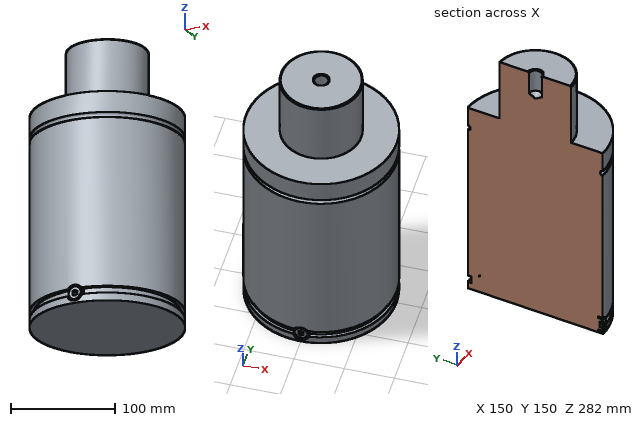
import cadquery as cq
import math

body_diameter = 150.0
body_height = 215.0

rod_diameter = 80.0
total_height = 282.0
rod_edge_chamfer = 1.0

rod_hole_diameter = 14.0
rod_hole_mouth_diameter = 16.0
rod_hole_depth = 25.0
drill_point_angle = 118.0

round_groove_radius = 2.5
round_groove_depth = 2.65
round_groove_height = 191.0

base_flange_height = 8.0
square_groove_width = 7.0
square_groove_diameter = 142.0

valve_height = 10.6
valve_pocket_diameter = 16.0
valve_pocket_floor = 70.0
valve_plug_diameter = 14.0
valve_plug_face = 74.5
valve_plug_chamfer = 0.5
valve_socket_across_flats = 5.0
valve_socket_depth = 3.0

body_radius = body_diameter / 2


def make_body():
    """Cylinder and rod, with the rod's top edge broken."""
    body = cq.Workplane("XY").circle(body_radius).extrude(body_height)
    rod = (
        cq.Workplane("XY")
        .circle(rod_diameter / 2)
        .extrude(total_height)
        .faces(">Z")
        .chamfer(rod_edge_chamfer)
    )
    return body.union(rod)


def make_square_groove():
    """Ring that cuts the rectangular groove above the base flange."""
    return (
        cq.Workplane("XY", origin=(0, 0, base_flange_height))
        .circle(body_diameter)
        .circle(square_groove_diameter / 2)
        .extrude(square_groove_width)
    )


def make_round_groove():
    """Ring that cuts the U-shaped groove: flat flanks and a half-round bottom."""
    floor_radius = body_radius - round_groove_depth
    centre_radius = floor_radius + round_groove_radius
    lower_edge = round_groove_height - round_groove_radius
    upper_edge = round_groove_height + round_groove_radius
    return (
        cq.Workplane("XZ")
        .moveTo(body_diameter, lower_edge)
        .lineTo(centre_radius, lower_edge)
        .threePointArc((floor_radius, round_groove_height), (centre_radius, upper_edge))
        .lineTo(body_diameter, upper_edge)
        .close()
        .revolve(360, (0, 0, 0), (0, 1, 0))
    )


def make_rod_hole():
    """Blind drilled hole with a countersunk mouth and a conical drill point."""
    chamfer = (rod_hole_mouth_diameter - rod_hole_diameter) / 2
    hole_radius = rod_hole_diameter / 2
    point_length = hole_radius / math.tan(math.radians(drill_point_angle / 2))
    floor_height = total_height - rod_hole_depth
    return (
        cq.Workplane("XZ")
        .moveTo(0, total_height)
        .lineTo(rod_hole_mouth_diameter / 2, total_height)
        .lineTo(hole_radius, total_height - chamfer)
        .lineTo(hole_radius, floor_height)
        .lineTo(0, floor_height - point_length)
        .close()
        .revolve(360, (0, 0, 0), (0, 1, 0))
    )


def valve_cylinder(diameter, inner_distance, outer_distance):
    """Cylinder on the valve axis between two distances from the part axis, towards -Y."""
    return (
        cq.Workplane("XZ", origin=(0, -inner_distance, valve_height))
        .circle(diameter / 2)
        .extrude(outer_distance - inner_distance)
    )


def add_valve(part):
    """Pocket through the wall with a plug standing in it and a blind hexagon socket, corners up and down."""
    pocket = valve_cylinder(valve_pocket_diameter, valve_pocket_floor, body_diameter)
    plug = valve_cylinder(valve_plug_diameter, valve_pocket_floor, valve_plug_face)
    plug = plug.faces("<Y").chamfer(valve_plug_chamfer)
    across_corners = valve_socket_across_flats / math.cos(math.radians(30))
    socket = (
        cq.Workplane("XZ", origin=(0, -valve_plug_face, valve_height))
        .transformed(rotate=(0, 0, 90))
        .polygon(6, across_corners)
        .extrude(-valve_socket_depth)
    )
    return part.cut(pocket).union(plug).cut(socket)


result = make_body()
result = result.cut(make_square_groove())
result = result.cut(make_round_groove())
result = result.cut(make_rod_hole())
result = add_valve(result)